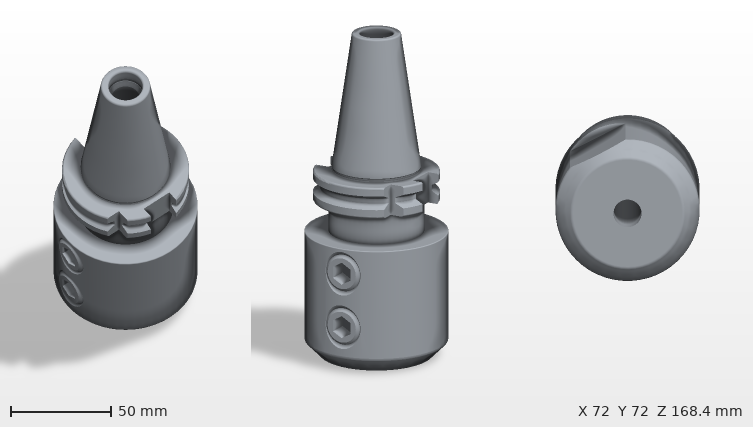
import cadquery as cq
import math

taper_length = 68.4
nose_length = 100.0
gauge_diameter = 44.45
taper_ratio = 7 / 24
shank_top_z = taper_length
nose_bottom_z = -nose_length

gauge_radius = gauge_diameter / 2
shank_tip_radius = gauge_radius - taper_ratio * taper_length / 2
shank_tip_rounding = 1.0
taper_end_z = -1.2
taper_end_radius = gauge_radius - taper_ratio * taper_end_z / 2
relief_depth = 0.5
relief_radius = taper_end_radius - relief_depth

flange_radius = 63.55 / 2
flange_top_z = -3.2
flange_bottom_z = -19.1
flange_edge_rounding = 1.0
groove_center_z = -11.1
groove_floor_radius = 56.25 / 2
groove_floor_rounding = 0.5
groove_mouth_width = 7.1
groove_flank_angle = 30.0
groove_depth = flange_radius - groove_floor_radius
groove_floor_width = groove_mouth_width - 2 * groove_depth * math.tan(math.radians(groove_flank_angle))

neck_radius = 24.0
body_radius = 36.0
body_top_z = -35.0
body_top_rounding = 0.5
body_nose_chamfer = 8.0
body_nose_rounding = 2.0

slot_width = 16.1
left_slot_distance = 22.8
right_slot_distance = 25.0
left_slot_center_z = flange_bottom_z
notch_x = 18.5
notch_y = -18.8

flat_distance = 32.5
flat_top_offset = 13.5
flat_top_z = body_top_z - flat_top_offset

bore_radius = 7.0
seat_radius = 8.5
seat_depth = 8.0
undercut_radius = 8.8
undercut_width = 2.0
seat_mouth_rounding = 1.0
seat_cone_angle = 30.0
seat_cone_depth = (seat_radius - bore_radius) / math.tan(math.radians(seat_cone_angle))

screw_radius = 9.5
screw_face_radius = 8.0
screw_chamfer = screw_radius - screw_face_radius
first_screw_z = nose_bottom_z + 24.0
screw_spacing = 28.0
screw_centers_z = (first_screw_z, first_screw_z + screw_spacing)
countersink_radius = 11.35
countersink_depth = countersink_radius - screw_radius
hex_across_flats = 10.0
hex_depth = 10.0


def box_between(x_min, x_max, y_min, y_max, z_min, z_max):
    """Axis-aligned box from its two extreme corners."""
    size = (x_max - x_min, y_max - y_min, z_max - z_min)
    return cq.Workplane("XY").box(*size, centered=False).translate((x_min, y_min, z_min))


def revolve_profile(points):
    """Solid of revolution about Z from (radius, z) points."""
    return cq.Workplane("XZ").polyline(points).close().revolve(360, (0, 0), (0, 1))


def disc_selector(radius, z, thickness):
    """Selector for edges lying within a flat square region around the Z axis."""
    low = (-radius, -radius, z - thickness / 2)
    high = (radius, radius, z + thickness / 2)
    return cq.selectors.BoxSelector(low, high, boundingbox=True)


def rim_selector(radius, z, margin=0.05):
    """Selector for the circular edges about Z with the given radius and height."""
    outer = disc_selector(radius + margin, z, 2 * margin)
    inner = disc_selector(radius - margin, z, 2 * margin)
    return outer - inner


def make_holder():
    """Turned outside shape of the holder."""
    holder = revolve_profile([
        (0, shank_top_z),
        (shank_tip_radius, shank_top_z),
        (taper_end_radius, taper_end_z),
        (relief_radius, taper_end_z - relief_depth),
        (relief_radius, flange_top_z + relief_depth),
        (taper_end_radius, flange_top_z),
        (flange_radius, flange_top_z),
        (flange_radius, groove_center_z + groove_mouth_width / 2),
        (groove_floor_radius, groove_center_z + groove_floor_width / 2),
        (groove_floor_radius, groove_center_z - groove_floor_width / 2),
        (flange_radius, groove_center_z - groove_mouth_width / 2),
        (flange_radius, flange_bottom_z),
        (neck_radius, flange_bottom_z),
        (neck_radius, body_top_z),
        (body_radius, body_top_z),
        (body_radius, nose_bottom_z + body_nose_chamfer),
        (body_radius - body_nose_chamfer, nose_bottom_z),
        (0, nose_bottom_z),
    ])
    roundings = [
        (shank_tip_radius, shank_top_z, shank_tip_rounding),
        (flange_radius, flange_top_z, flange_edge_rounding),
        (flange_radius, flange_bottom_z, flange_edge_rounding),
        (groove_floor_radius, groove_center_z + groove_floor_width / 2, groove_floor_rounding),
        (groove_floor_radius, groove_center_z - groove_floor_width / 2, groove_floor_rounding),
        (body_radius, body_top_z, body_top_rounding),
        (body_radius, nose_bottom_z + body_nose_chamfer, body_nose_rounding),
        (body_radius - body_nose_chamfer, nose_bottom_z, body_nose_rounding),
    ]
    for radius, z, rounding in roundings:
        holder = holder.edges(rim_selector(radius, z)).fillet(rounding)
    return holder


def left_drive_slot():
    """Round-ended slot on the -X side, running past the flange into the neck."""
    straight = box_between(
        -body_radius, -left_slot_distance, -slot_width / 2, slot_width / 2, left_slot_center_z, flange_top_z
    )
    round_end = (
        cq.Workplane("YZ", origin=(-body_radius, 0, left_slot_center_z))
        .circle(slot_width / 2)
        .extrude(body_radius - left_slot_distance)
    )
    return straight.union(round_end)


def right_drive_slot():
    """Slot across the flange on the +X side."""
    return box_between(
        right_slot_distance, body_radius, -slot_width / 2, slot_width / 2, flange_bottom_z, flange_top_z
    )


def orientation_notch():
    """Corner cut through the flange in the +X, -Y quadrant."""
    return box_between(notch_x, body_radius, -body_radius, notch_y, flange_bottom_z, flange_top_z)


def balancing_flat():
    """Flat on the +Y side that runs out upward at 45 degrees."""
    runout = body_radius - flat_distance
    return (
        cq.Workplane("YZ", origin=(-body_radius, 0, 0))
        .polyline([
            (flat_distance, nose_bottom_z),
            (flat_distance, flat_top_z),
            (flat_distance + runout, flat_top_z + runout),
            (flat_distance + runout, nose_bottom_z),
        ])
        .close()
        .extrude(2 * body_radius)
    )


def axial_bore():
    """Through bore with a stepped seat in the shank tip."""
    seat_floor_z = shank_top_z - seat_depth
    return revolve_profile([
        (0, shank_top_z),
        (seat_radius, shank_top_z),
        (seat_radius, seat_floor_z + undercut_width),
        (undercut_radius, seat_floor_z + undercut_width),
        (undercut_radius, seat_floor_z),
        (seat_radius, seat_floor_z),
        (bore_radius, seat_floor_z - seat_cone_depth),
        (bore_radius, nose_bottom_z),
        (0, nose_bottom_z),
    ])


def screw_cut(center_z):
    """V-shaped ring between screw head and countersink, plus the hexagon socket."""
    ring = (
        cq.Workplane("XY")
        .polyline([
            (screw_face_radius, -body_radius),
            (screw_radius, -body_radius + screw_chamfer),
            (screw_radius, -body_radius + countersink_depth),
            (countersink_radius, -body_radius),
        ])
        .close()
        .revolve(360, (0, 0), (0, 1))
        .translate((0, 0, center_z))
    )
    hex_diameter = hex_across_flats / math.cos(math.pi / 6)
    socket = (
        cq.Workplane("XZ", origin=(0, -body_radius, center_z))
        .transformed(rotate=(0, 0, 90))
        .polygon(6, hex_diameter)
        .extrude(-hex_depth)
    )
    return ring.union(socket)


def screw_face_pad(center_z):
    """Flat screw face standing level with the crown of the body."""
    return (
        cq.Workplane("XZ", origin=(0, -body_radius, center_z))
        .circle(screw_radius)
        .extrude(-screw_radius)
    )


result = make_holder()
result = result.cut(left_drive_slot())
result = result.cut(right_drive_slot())
result = result.cut(orientation_notch())
result = result.cut(balancing_flat())
result = result.cut(axial_bore())
result = result.edges(rim_selector(seat_radius, shank_top_z)).fillet(seat_mouth_rounding)
for screw_z in screw_centers_z:
    result = result.union(screw_face_pad(screw_z))
    result = result.cut(screw_cut(screw_z))